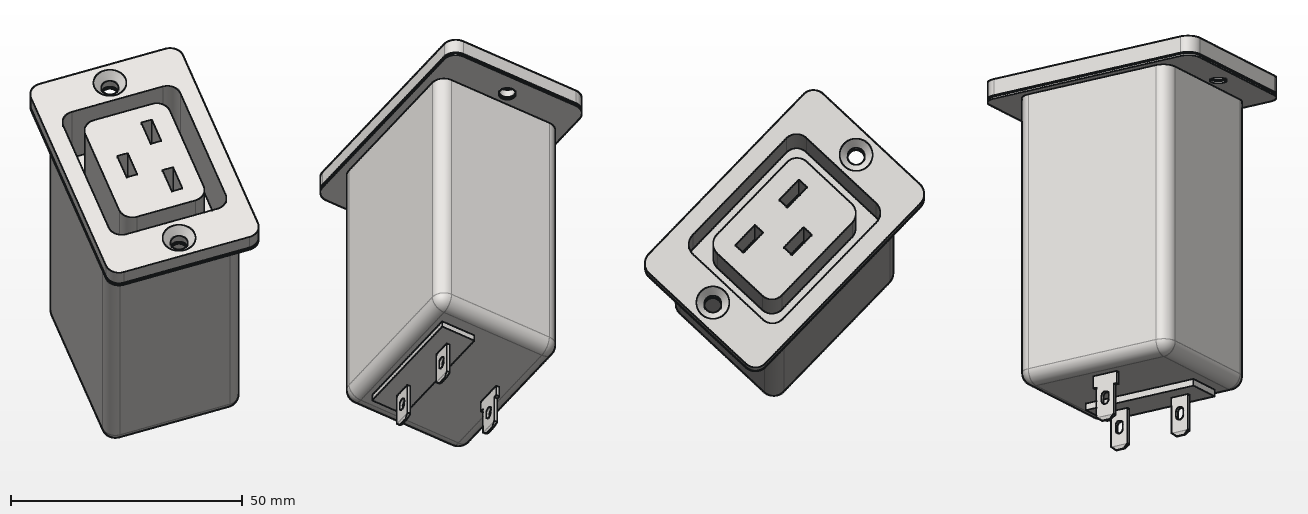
import cadquery as cq

total_height = 81.0
corner_radius = 3.0

flange_length = 54.5
flange_width = 34.8
upper_plate_thickness = 3.7
plate_gap = 0.3
backing_plate_thickness = 0.5

housing_length = 39.2
housing_width = 31.1
housing_bottom = 10.5

recess_length = 35.4
recess_width = 26.8
island_length = 27.95
island_width = 19.35
socket_depth = 16.2
slot_length = 6.15
slot_width = 2.4
slot_offset_x = 6.9
slot_offset_y = 4.0

hole_offset_x = 22.4
hole_diameter = 3.7
countersink_diameter = 7.1
countersink_angle = 90

block_width = 8.3
block_height = 1.5
block_center_y = 7.1

terminal_thickness = 0.8
terminal_offset_x = 7.85
side_terminal_width = 4.3
center_terminal_width = 4.5
center_terminal_y = -10.05
shoulder_width = 6.15
shoulder_bottom = 7.8
eyelet_width = 1.9
eyelet_height = 2.9
eyelet_center_z = 5.0
tip_height = 0.9
tip_width = 2.1
tip_thickness = 0.3

upper_plate_bottom = total_height - upper_plate_thickness
backing_plate_top = upper_plate_bottom - plate_gap
flange_bottom = backing_plate_top - backing_plate_thickness
block_bottom = housing_bottom - block_height


def rounded_block(length, width, bottom, top):
    """Block centred on the Z axis with rounded vertical edges."""
    block = cq.Workplane("XY", origin=(0, 0, bottom)).rect(length, width).extrude(top - bottom)
    return block.edges("|Z").fillet(corner_radius)


def plain_block(length, width, bottom, top, center_x, center_y):
    """Sharp-edged block standing between two heights."""
    plane = cq.Workplane("XY", origin=(center_x, center_y, bottom))
    return plane.rect(length, width).extrude(top - bottom)


def housing():
    """Housing reaching up to the upper plate, with a rounded bottom rim."""
    body = rounded_block(housing_length, housing_width, housing_bottom, upper_plate_bottom)
    return body.faces("<Z").edges().fillet(corner_radius)


def flange():
    upper_plate = rounded_block(flange_length, flange_width, upper_plate_bottom, total_height)
    backing_plate = rounded_block(flange_length, flange_width, flange_bottom, backing_plate_top)
    return upper_plate, backing_plate


def socket_cavity():
    """Ring-shaped recess plus the three contact slots in the island."""
    floor = total_height - socket_depth
    recess = rounded_block(recess_length, recess_width, floor, total_height)
    cavity = recess.cut(rounded_block(island_length, island_width, floor, total_height))
    slot_centers = [
        (-slot_offset_x, slot_offset_y),
        (slot_offset_x, slot_offset_y),
        (0, -slot_offset_y),
    ]
    for x, y in slot_centers:
        cavity = cavity.union(plain_block(slot_length, slot_width, floor, total_height, x, y))
    return cavity


def terminal(width, top, center_x, center_y):
    """Flat blade with a tapered tip and an oblong eyelet."""
    blade = plain_block(width, terminal_thickness, tip_height, top, center_x, center_y)
    tip = (
        cq.Workplane("XY", origin=(center_x, center_y, 0))
        .rect(tip_width, tip_thickness)
        .workplane(offset=tip_height)
        .rect(width, terminal_thickness)
        .loft(ruled=True)
    )
    eyelet = (
        cq.Workplane("XZ", origin=(center_x, center_y, eyelet_center_z))
        .slot2D(eyelet_height, eyelet_width, 90)
        .extrude(terminal_thickness, both=True)
    )
    return blade.union(tip).cut(eyelet)


result = housing()
for plate in flange():
    result = result.union(plate)

result = result.cut(socket_cavity())
result = (
    result.faces(">Z")
    .workplane(origin=(0, 0, total_height))
    .pushPoints([(-hole_offset_x, 0), (hole_offset_x, 0)])
    .cskHole(hole_diameter, countersink_diameter, countersink_angle)
)

result = result.union(
    plain_block(island_length, block_width, block_bottom, housing_bottom, 0, block_center_y)
)
for side in (-1, 1):
    result = result.union(
        terminal(side_terminal_width, block_bottom, side * terminal_offset_x, block_center_y)
    )

shoulder = plain_block(
    shoulder_width, terminal_thickness, shoulder_bottom, housing_bottom, 0, center_terminal_y
)
result = result.union(shoulder)
result = result.union(terminal(center_terminal_width, shoulder_bottom, 0, center_terminal_y))